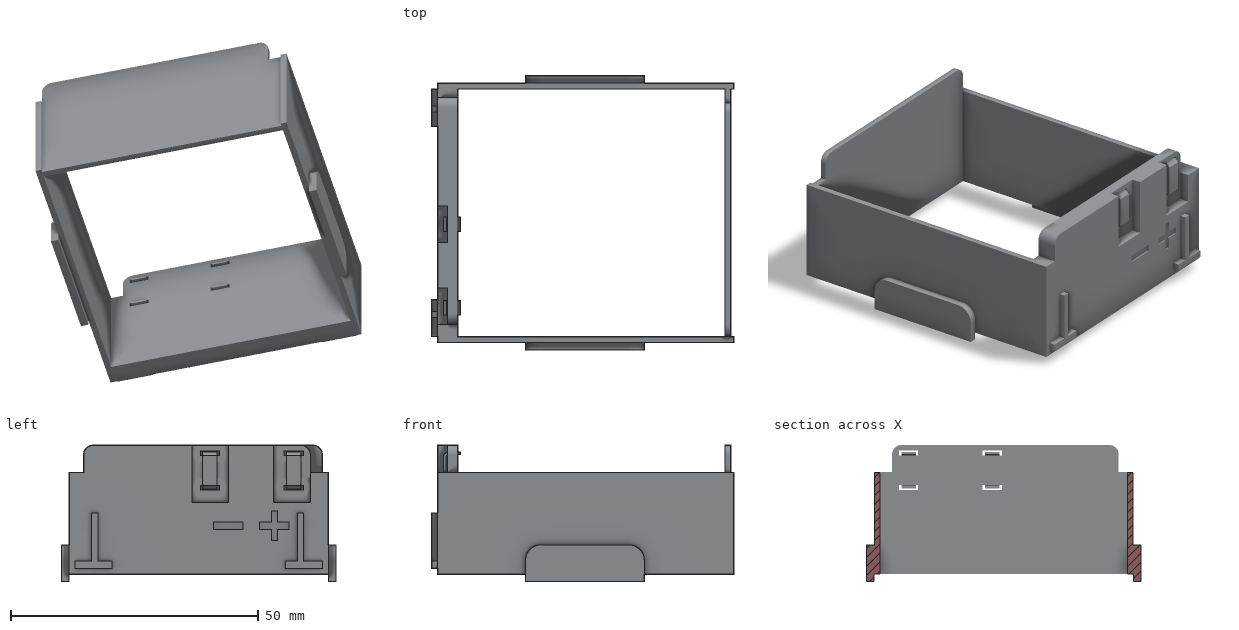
import cadquery as cq


FRAME_LENGTH = 60.0
FRAME_WIDTH = 52.5
FRAME_HEIGHT = 20.7
SIDE_WALL = 1.2
TERMINAL_WALL = 4.1
END_WALL = 1.2
END_WALL_INSET = 0.6
INNER_WIDTH = FRAME_WIDTH - 2 * SIDE_WALL
END_WALL_X = FRAME_LENGTH - END_WALL_INSET - END_WALL

TOP_Z = 26.2
TONGUE_RADIUS = 2.0
TERMINAL_TONGUE_MIN_Y = -22.6
TERMINAL_TONGUE_MAX_Y = 23.3
END_TONGUE_MIN_Y = -INNER_WIDTH / 2
END_TONGUE_MAX_Y = 22.2

TAB_LENGTH = 24.05
TAB_CENTER_X = 29.8
TAB_THICKNESS = 1.5
TAB_DROP = 1.45
TAB_TOP_Z = 6.0
TAB_RADIUS = 3.1

POCKET_WIDTH = 7.4
POCKET_DEPTH = 1.95
POCKET_FLOOR_Z = 14.6
POCKET_CENTERS_Y = (-2.3, TERMINAL_TONGUE_MIN_Y + POCKET_WIDTH / 2)
SLOT_WIDTH = 3.9
SLOT_HEIGHT = 1.0
SLOT_CENTERS_Z = (17.6, 24.55)

CONTACT_CENTERS_Y = (-2.25, -19.2)
CONTACT_WIDTH = 2.95
CONTACT_THICKNESS = 0.5
CONTACT_OUTER_BEND = 0.7
CONTACT_INNER_BEND = 0.35
CONTACT_FRONT_X = 1.15
CONTACT_LEG_PROTRUSION = 0.5
CONTACT_END_X = TERMINAL_WALL + CONTACT_LEG_PROTRUSION
CONTACT_BOTTOM_Z = SLOT_CENTERS_Z[0] - CONTACT_THICKNESS / 2
CONTACT_TOP_Z = SLOT_CENTERS_Z[1] + CONTACT_THICKNESS / 2

RIB_HEIGHT = 1.2
RIB_FOOT_LENGTH = 7.5
RIB_FOOT_BOTTOM_Z = 1.2
RIB_FOOT_TOP_Z = 2.7
RIB_STEM_WIDTH = 1.2
RIB_STEM_TOP_Z = 12.5
RIB_FOOT_CENTER_Y = 21.3
RIB_STEM_CENTERS_Y = (21.05, -20.6)

MARK_DEPTH = 0.3
MARK_LENGTH = 6.0
MARK_BAR_HEIGHT = 1.45
MARK_UPRIGHT_WIDTH = 1.2
MARK_CENTER_Z = 9.85
MINUS_CENTER_Y = -6.0
PLUS_CENTER_Y = -15.3


def block(x_range, y_range, z_range):
    """Box between the given (low, high) limits along each axis."""
    limits = (x_range, y_range, z_range)
    sizes = [high - low for low, high in limits]
    corner = tuple(low for low, high in limits)
    return cq.Workplane("XY").box(*sizes, centered=False).translate(corner)


def around(center, size):
    """The (low, high) limits of a span centred on a point."""
    return (center - size / 2, center + size / 2)


def make_walls():
    walls = block((0, FRAME_LENGTH), around(0, FRAME_WIDTH), (0, FRAME_HEIGHT))
    opening = block((TERMINAL_WALL, END_WALL_X), around(0, INNER_WIDTH), (0, FRAME_HEIGHT))
    end_recess = block(
        (FRAME_LENGTH - END_WALL_INSET, FRAME_LENGTH), around(0, INNER_WIDTH), (0, FRAME_HEIGHT)
    )
    return walls.cut(opening).cut(end_recess)


def make_tongue(x_range, y_range):
    """Upper continuation of a wall, with rounded top corners."""
    tongue = block(x_range, y_range, (0, TOP_Z))
    return tongue.edges("|X and >Z").fillet(TONGUE_RADIUS)


def make_tab(side):
    """Tab on the side wall at +Y (side = 1) or -Y (side = -1)."""
    wall_y = side * FRAME_WIDTH / 2
    y_range = sorted((wall_y, wall_y + side * TAB_THICKNESS))
    tab = block(around(TAB_CENTER_X, TAB_LENGTH), y_range, (-TAB_DROP, TAB_TOP_Z))
    return tab.edges("|Y and >Z").fillet(TAB_RADIUS)


def make_rib(foot_center_y, stem_center_y):
    x_range = (-RIB_HEIGHT, 0)
    foot = block(
        x_range, around(foot_center_y, RIB_FOOT_LENGTH), (RIB_FOOT_BOTTOM_Z, RIB_FOOT_TOP_Z)
    )
    stem = block(
        x_range, around(stem_center_y, RIB_STEM_WIDTH), (RIB_FOOT_BOTTOM_Z, RIB_STEM_TOP_Z)
    )
    return foot.union(stem)


def make_pocket(center_y):
    return block((0, POCKET_DEPTH), around(center_y, POCKET_WIDTH), (POCKET_FLOOR_Z, TOP_Z))


def make_slot(center_y, center_z):
    return block(
        (0, TERMINAL_WALL), around(center_y, SLOT_WIDTH), around(center_z, SLOT_HEIGHT)
    )


def make_mark_bar(center_y, width, height):
    return block((0, MARK_DEPTH), around(center_y, width), around(MARK_CENTER_Z, height))


def make_housing():
    housing = make_walls()
    housing = housing.union(
        make_tongue((0, TERMINAL_WALL), (TERMINAL_TONGUE_MIN_Y, TERMINAL_TONGUE_MAX_Y))
    )
    housing = housing.union(
        make_tongue((END_WALL_X, END_WALL_X + END_WALL), (END_TONGUE_MIN_Y, END_TONGUE_MAX_Y))
    )
    for side, stem_center_y in zip((1, -1), RIB_STEM_CENTERS_Y):
        housing = housing.union(make_tab(side))
        housing = housing.union(make_rib(side * RIB_FOOT_CENTER_Y, stem_center_y))
    for pocket_center_y in POCKET_CENTERS_Y:
        housing = housing.cut(make_pocket(pocket_center_y))
    for contact_center_y in CONTACT_CENTERS_Y:
        for slot_center_z in SLOT_CENTERS_Z:
            housing = housing.cut(make_slot(contact_center_y, slot_center_z))
    for mark_center_y in (MINUS_CENTER_Y, PLUS_CENTER_Y):
        housing = housing.cut(make_mark_bar(mark_center_y, MARK_LENGTH, MARK_BAR_HEIGHT))
    return housing.cut(make_mark_bar(PLUS_CENTER_Y, MARK_UPRIGHT_WIDTH, MARK_LENGTH))


def make_staple_blank(inset, bend):
    """Solid inside the staple's outline, moved inwards by inset, with chamfered front edges."""
    blank = block(
        (CONTACT_FRONT_X + inset, CONTACT_END_X),
        (-CONTACT_WIDTH / 2, CONTACT_WIDTH / 2),
        (CONTACT_BOTTOM_Z + inset, CONTACT_TOP_Z - inset),
    )
    return blank.edges("|Y and <X").chamfer(bend)


def make_contact(center_y):
    contact = make_staple_blank(0, CONTACT_OUTER_BEND).cut(
        make_staple_blank(CONTACT_THICKNESS, CONTACT_INNER_BEND)
    )
    return contact.translate((0, center_y, 0))


housing = make_housing()
contacts = [make_contact(center_y) for center_y in CONTACT_CENTERS_Y]

result = cq.Compound.makeCompound([housing.val(), *[contact.val() for contact in contacts]])